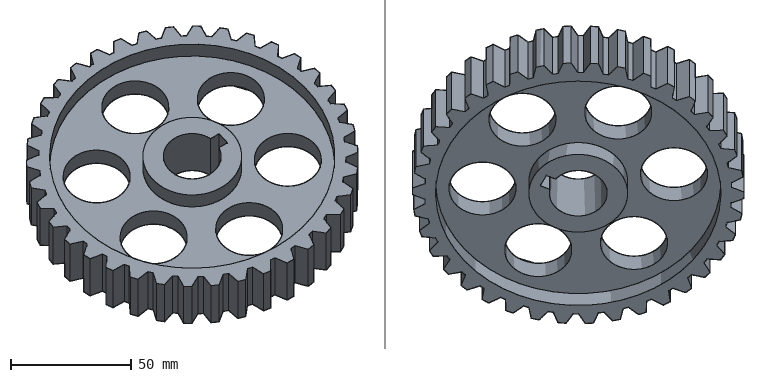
import cadquery as cq
import math

tip_radius = 69.0
root_radius = 63.9
thickness = 25.0
tooth_count = 38
clocking_angle = -20.0

tip_width = 3.5
base_width = 8.3

recess_depth = 8.0
rim_inner_radius = 59.3
hub_radius = 20.5

hole_count = 6
hole_radius = 14.0
hole_circle_radius = 40.0

bore_radius = 12.0
keyway_width = 6.0
keyway_top = 16.0
keyway_angle = 90.0


def on_circle(radius, angle):
    """Point at the given radius and angle (radians) around the gear axis."""
    return (radius * math.cos(angle), radius * math.sin(angle))


def toothed_disc():
    """Full-thickness disc with the toothed outline, one tooth centred on +X."""
    pitch = 2 * math.pi / tooth_count
    half_tip = math.asin(tip_width / 2 / tip_radius)
    half_base = math.asin(base_width / 2 / root_radius)

    outline = cq.Workplane("XY").moveTo(*on_circle(root_radius, -half_base))
    for tooth in range(tooth_count):
        center = tooth * pitch
        outline = outline.lineTo(*on_circle(tip_radius, center - half_tip))
        outline = outline.threePointArc(
            on_circle(tip_radius, center),
            on_circle(tip_radius, center + half_tip),
        )
        outline = outline.lineTo(*on_circle(root_radius, center + half_base))
        outline = outline.threePointArc(
            on_circle(root_radius, center + pitch / 2),
            on_circle(root_radius, center + pitch - half_base),
        )
    return outline.close().extrude(thickness)


def face_recess(bottom):
    """Ring-shaped pocket between hub and rim, starting at height bottom."""
    return (
        cq.Workplane("XY", origin=(0, 0, bottom))
        .circle(rim_inner_radius)
        .circle(hub_radius)
        .extrude(recess_depth)
    )


def lightening_holes():
    """Ring of round cutters through the web."""
    return (
        cq.Workplane("XY")
        .polarArray(hole_circle_radius, 0, 360, hole_count)
        .circle(hole_radius)
        .extrude(thickness)
    )


def keyed_bore():
    """Shaft bore with its keyway, as a cutter."""
    bore = cq.Workplane("XY").circle(bore_radius).extrude(thickness)
    keyway = (
        cq.Workplane("XY")
        .center(keyway_top / 2, 0)
        .rect(keyway_top, keyway_width)
        .extrude(thickness)
        .rotate((0, 0, 0), (0, 0, 1), keyway_angle)
    )
    return bore.union(keyway)


gear = (
    toothed_disc()
    .cut(face_recess(0))
    .cut(face_recess(thickness - recess_depth))
    .cut(lightening_holes())
    .cut(keyed_bore())
)

result = gear.rotate((0, 0, 0), (0, 0, 1), clocking_angle)